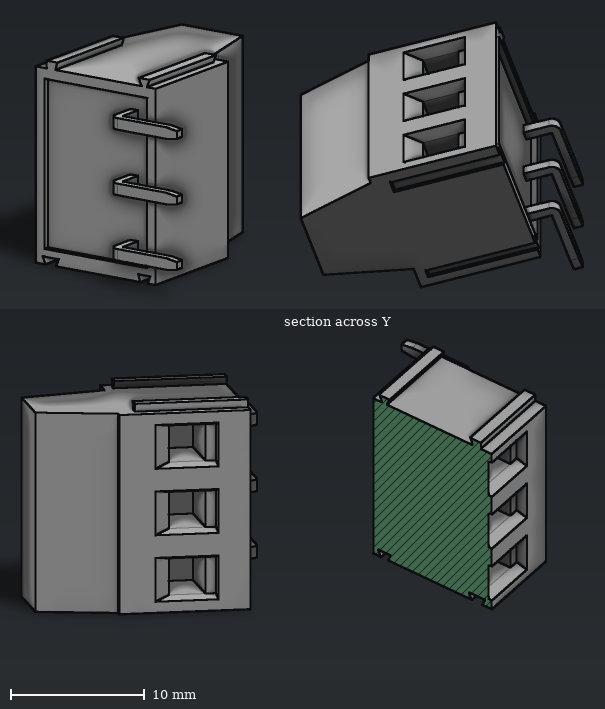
import cadquery as cq

BODY_WIDTH = 11.0
BODY_DEPTH = 16.0
BODY_HEIGHT = 15.24
ENTRY_STEP_Y = 10.0
ENTRY_STEP_WIDTH = 0.5
FAR_STEP_Y = 9.4
FAR_STEP_WIDTH = 1.8
CREST_START_X = 2.07
CREST_END_X = 7.67

POLE_COUNT = 3
PITCH = 5.08
POLE_HEIGHTS = [PITCH * (index + 0.5) for index in range(POLE_COUNT)]

RECESS_SIDE_MARGIN = 0.8
RECESS_BOTTOM = 1.2
RECESS_TOP = 14.4
RECESS_DEPTH = 0.5

MOUTH_Y_MIN = 2.45
MOUTH_Y_MAX = 7.25
MOUTH_HEIGHT = 3.35
MOUTH_DEPTH = 0.95
WIRE_HOLE_SIZE = 2.8
WIRE_HOLE_Y_MAX = 6.05
WIRE_HOLE_Y_MIN = WIRE_HOLE_Y_MAX - WIRE_HOLE_SIZE
WIRE_HOLE_END_X = 6.0

RAIL_HEIGHT = 0.6
RAIL_LENGTH = 8.6
RAIL_SECTIONS = [
    (1.0, 1.8, 1.0, 2.0),
    (9.7, 10.2, 9.45, 10.45),
]
GROOVE_SECTIONS = [
    (0.9, 1.85, 0.65, 2.1),
    (9.6, 10.25, 9.4, 10.5),
]

PIN_THICKNESS = 0.7
PIN_WIDTH = 0.9
PIN_TIP_WIDTH = 0.6
PIN_TIP_LENGTH = 1.0
PIN_INNER_X = 9.05
PIN_END_X = 14.5
PIN_OUTER_Y = -2.2
PIN_INNER_Y = PIN_OUTER_Y + PIN_THICKNESS
PIN_ROOT_OVERLAP = 0.5


def make_housing():
    """Block with a tapered crest on its +Y side, extruded along Z."""
    return (
        cq.Workplane("XY")
        .polyline([
            (0, 0),
            (BODY_WIDTH, 0),
            (BODY_WIDTH, FAR_STEP_Y),
            (BODY_WIDTH - FAR_STEP_WIDTH, FAR_STEP_Y),
            (CREST_END_X, BODY_DEPTH),
            (CREST_START_X, BODY_DEPTH),
            (ENTRY_STEP_WIDTH, ENTRY_STEP_Y),
            (0, ENTRY_STEP_Y),
        ])
        .close()
        .extrude(BODY_HEIGHT)
    )


def box_between(x_range, y_range, z_range):
    """Box that spans the given (low, high) range on each axis."""
    (x0, x1), (y0, y1), (z0, z1) = x_range, y_range, z_range
    return cq.Workplane("XY").box(x1 - x0, y1 - y0, z1 - z0, centered=False).translate((x0, y0, z0))


def make_recess():
    """Shallow rectangular recess in the pin face."""
    return box_between(
        (RECESS_SIDE_MARGIN, BODY_WIDTH - RECESS_SIDE_MARGIN),
        (0, RECESS_DEPTH),
        (RECESS_BOTTOM, RECESS_TOP),
    )


def make_wire_entry(pole_z):
    """Tapered mouth with one straight side, followed by a blind square hole."""
    mouth_length = MOUTH_Y_MAX - MOUTH_Y_MIN
    throat_length = WIRE_HOLE_Y_MAX - MOUTH_Y_MIN
    mouth_center = MOUTH_Y_MIN + mouth_length / 2
    throat_center = MOUTH_Y_MIN + throat_length / 2
    mouth = (
        cq.Workplane("YZ")
        .center(mouth_center, pole_z)
        .rect(mouth_length, MOUTH_HEIGHT)
        .workplane(offset=MOUTH_DEPTH)
        .center(throat_center - mouth_center, 0)
        .rect(throat_length, WIRE_HOLE_SIZE)
        .loft(ruled=True)
    )
    wire_hole = box_between(
        (0, WIRE_HOLE_END_X),
        (WIRE_HOLE_Y_MIN, WIRE_HOLE_Y_MAX),
        (pole_z - WIRE_HOLE_SIZE / 2, pole_z + WIRE_HOLE_SIZE / 2),
    )
    return mouth.union(wire_hole)


def make_dovetail(section, base_z):
    """Dovetail bar that runs from the pin face toward +Y."""
    base_start, base_end, top_start, top_end = section
    top_z = base_z + RAIL_HEIGHT
    return (
        cq.Workplane("XZ")
        .polyline([(base_start, base_z), (base_end, base_z), (top_end, top_z), (top_start, top_z)])
        .close()
        .extrude(-RAIL_LENGTH)
    )


def make_pin(pole_z):
    """L-shaped pin with a rounded outer bend and a tip that narrows in Z."""
    root_y = RECESS_DEPTH + PIN_ROOT_OVERLAP
    pin_outer_x = PIN_INNER_X - PIN_THICKNESS
    bent_strip = (
        cq.Workplane("XY", origin=(0, 0, pole_z))
        .polyline([
            (pin_outer_x, root_y),
            (PIN_INNER_X, root_y),
            (PIN_INNER_X, PIN_INNER_Y),
            (PIN_END_X, PIN_INNER_Y),
            (PIN_END_X, PIN_OUTER_Y),
            (PIN_INNER_X, PIN_OUTER_Y),
        ])
        .radiusArc((pin_outer_x, PIN_INNER_Y), PIN_THICKNESS)
        .close()
        .extrude(PIN_WIDTH / 2, both=True)
    )
    taper_x = PIN_END_X - PIN_TIP_LENGTH
    half_width = PIN_WIDTH / 2
    half_tip = PIN_TIP_WIDTH / 2
    tapered_outline = (
        cq.Workplane("XZ", origin=(0, root_y, pole_z))
        .polyline([
            (pin_outer_x, -half_width),
            (taper_x, -half_width),
            (PIN_END_X, -half_tip),
            (PIN_END_X, half_tip),
            (taper_x, half_width),
            (pin_outer_x, half_width),
        ])
        .close()
        .extrude(root_y - PIN_OUTER_Y)
    )
    return bent_strip.intersect(tapered_outline)


result = make_housing().cut(make_recess())
for groove_section in GROOVE_SECTIONS:
    result = result.cut(make_dovetail(groove_section, 0))
for rail_section in RAIL_SECTIONS:
    result = result.union(make_dovetail(rail_section, BODY_HEIGHT))
for pole_height in POLE_HEIGHTS:
    result = result.cut(make_wire_entry(pole_height))
    result = result.union(make_pin(pole_height))